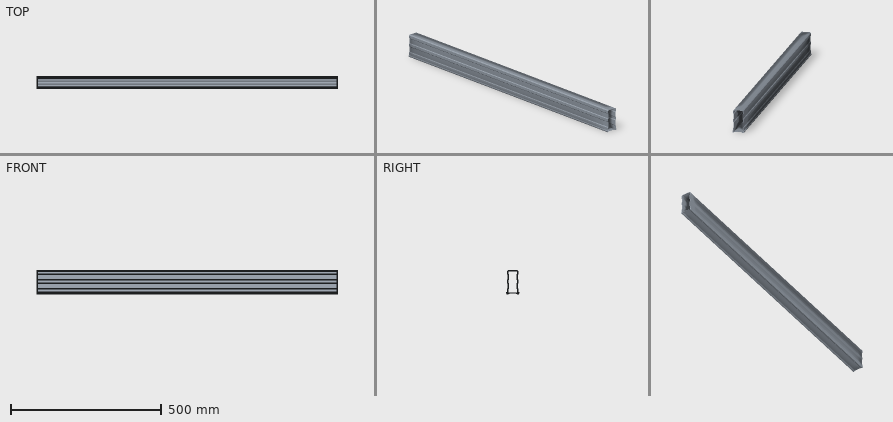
import cadquery as cq

length = 1000.0
width = 40.0
height = 78.0

wall = 1.0
flange_overhang = 2.5
flute_depth = 2.1

ridge_count = 3
ridge_width = 7.0
ridge_pitch = 9.0
ridge_rise = 0.2

corner_width = 2.9
corner_drop = 2.8
corner_facet_width = 2.0
corner_facet_drop = 1.7

flange_height = 5.6
flange_slope_drop = 0.7
flange_tip_height = 2.8
flange_bottom_inset = 1.5
flange_inner_half = 15.2

underside_half = 12.0
underside_rise = 2.8
floor_half = 12.5
floor_top = 3.8
floor_edge_top = 1.0

upper_flute_top = 65.0
upper_flute_bottom = 47.0
lower_flute_top = 36.0
lower_flute_bottom = flange_height + 11.0

half_width = width / 2
body_half = half_width - flange_overhang
bottom = -height / 2
roof = height / 2 - ridge_rise
half_step = flute_depth / 2


def end_plane():
    """Workplane on the -X end of the part."""
    return cq.Workplane("YZ", origin=(-length / 2, 0, 0))


def side_points(lip_y):
    """Points down one fluted wall face whose unrecessed stretches lie at lip_y."""
    flute_y = lip_y - flute_depth
    points = []
    for flute_top, flute_bottom in (
        (upper_flute_top, upper_flute_bottom),
        (lower_flute_top, lower_flute_bottom),
    ):
        points += [
            (lip_y, bottom + flute_top + half_step),
            (flute_y, bottom + flute_top - half_step),
            (flute_y, bottom + flute_bottom + half_step),
            (lip_y, bottom + flute_bottom - half_step),
        ]
    return points


def mirrored(points):
    """The same points on the -Y side, in reverse order."""
    return [(-y, z) for y, z in reversed(points)]


def add_lines(sketch, points):
    for y, z in points:
        sketch = sketch.lineTo(y, z)
    return sketch


def add_ridges(sketch):
    """Roof from -Y to +Y: flat lands joined by shallow convex ridges."""
    for index in range(ridge_count):
        center = (index - (ridge_count - 1) / 2) * ridge_pitch
        sketch = sketch.lineTo(center - ridge_width / 2, roof)
        sketch = sketch.threePointArc((center, roof + ridge_rise), (center + ridge_width / 2, roof))
    return sketch


def outer_section():
    """Outside outline, drawn clockwise from the -Y end of the roof."""
    shoulder = body_half - corner_width
    side = [
        (shoulder, roof),
        (shoulder + corner_facet_width, roof - corner_facet_drop),
        (body_half, roof - corner_drop),
    ]
    side += side_points(body_half)
    side += [
        (body_half, bottom + flange_height),
        (half_width, bottom + flange_height - flange_slope_drop),
        (half_width, bottom + flange_tip_height),
        (half_width - flange_bottom_inset, bottom),
        (flange_inner_half, bottom),
        (underside_half, bottom + underside_rise),
    ]
    sketch = end_plane().moveTo(-shoulder, roof)
    sketch = add_ridges(sketch)
    return add_lines(sketch, side + mirrored(side)).close()


def inner_section():
    """Outline of the hollow, one wall thickness inside the body."""
    inner_half = body_half - wall
    side = [
        (inner_half - corner_width, roof - wall),
        (inner_half, roof - wall - corner_drop),
    ]
    side += side_points(inner_half)
    side += [
        (inner_half, bottom + floor_edge_top),
        (floor_half + floor_top - floor_edge_top, bottom + floor_edge_top),
        (floor_half, bottom + floor_top),
    ]
    return end_plane().polyline(side + mirrored(side)).close()


result = outer_section().extrude(length).cut(inner_section().extrude(length))